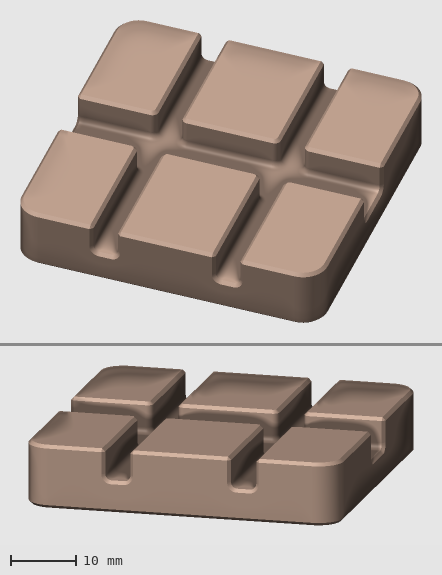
import cadquery as cq

side = 50.0
height = 10.0
corner_radius = 4.0
edge_break = 0.5

channel_depth = 5.0
narrow_width = 4.0
narrow_offset = 10.0
wide_width = 8.0
pad_corner_radius = 1.0
floor_radius = 1.0
overrun = 5.0

floor_z = height - channel_depth


def rounded_block():
    """Square block standing on Z = 0 with rounded vertical corners."""
    block = cq.Workplane("XY").box(side, side, height, centered=(True, True, False))
    return block.edges("|Z").fillet(corner_radius)


def channel_cutter():
    """Volume of the three crossing channels, rounded along the floor and at the crossings."""
    cutter_length = side + 2 * overrun
    floor = cq.Workplane("XY").workplane(offset=floor_z)
    channels = floor.rect(cutter_length, wide_width).extrude(channel_depth)
    for x in (-narrow_offset, narrow_offset):
        narrow = floor.center(x, 0).rect(narrow_width, cutter_length).extrude(channel_depth)
        channels = channels.union(narrow)

    crossings = cq.selectors.BoxSelector((-side / 2, -side / 2, 0), (side / 2, side / 2, height))
    channels = channels.edges("|Z").edges(crossings).fillet(pad_corner_radius)
    return channels.faces("<Z").edges().fillet(floor_radius)


def break_outer_edges(body):
    """Chamfer the base, the pad tops and the open channel ends."""
    outer_edges = body.faces("<X or >X or <Y or >Y or <Z or >Z").edges().vals()
    sharp_edges = [edge for edge in outer_edges if edge.BoundingBox().zlen < height - edge_break]
    return body.newObject(sharp_edges).chamfer(edge_break)


result = break_outer_edges(rounded_block().cut(channel_cutter()))